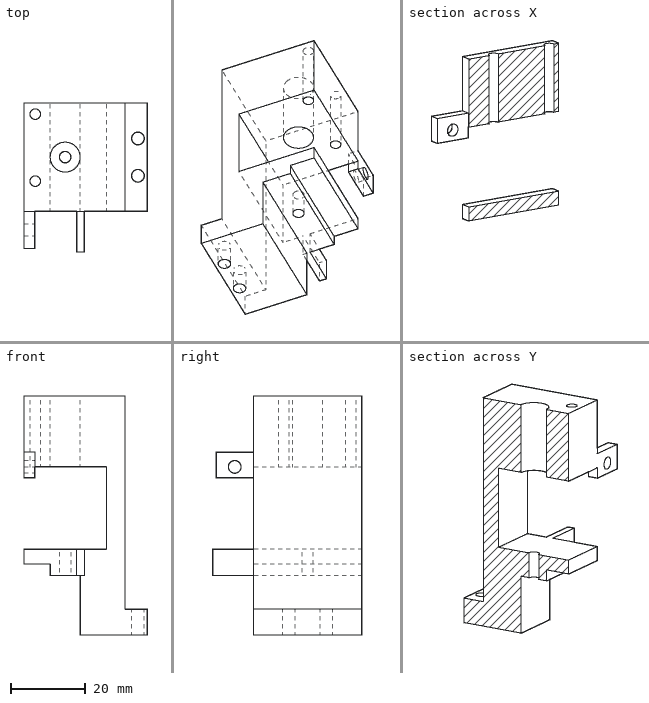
import cadquery as cq

height = 64.0
depth = 29.0
body_width = 27.0
foot_end = 33.0
foot_height = 7.0
column_left = 15.0
throat_wall = 22.0
throat_top = 45.0
plate_top = 23.0
plate_bottom = 19.0
step_left = 7.0
step_bottom = 15.95

tab_thickness = 2.9
tab_length = 10.0
tab_bottom = 42.05
tab_top = 48.95
rib_left = 14.1
rib_thickness = 2.05
rib_length = 10.9

bore_diameter = 8.0
plate_hole_diameter = 3.0
bore_x = 11.0
pin_hole_diameter = 2.8
pin_hole_x = 3.0
pin_hole_front_y = 8.05
pin_hole_back_y = depth - pin_hole_x
screw_hole_diameter = 3.3
screw_hole_x = 30.45
screw_hole_spacing = 10.0


def box(x_start, x_end, y_start, y_end, z_start, z_end):
    """Axis-aligned block between two opposite corners."""
    size = (x_end - x_start, y_end - y_start, z_end - z_start)
    return cq.Workplane("XY").box(*size, centered=False).translate((x_start, y_start, z_start))


def vertical_hole(x, y, diameter, z_start, z_end):
    """Cylinder along Z used as a cutter."""
    hole = cq.Workplane("XY").circle(diameter / 2).extrude(z_end - z_start)
    return hole.translate((x, y, z_start))


def make_body():
    """Side profile with head, throat, stepped plate, column and foot."""
    profile = [
        (0, height),
        (body_width, height),
        (body_width, foot_height),
        (foot_end, foot_height),
        (foot_end, 0),
        (column_left, 0),
        (column_left, step_bottom),
        (step_left, step_bottom),
        (step_left, plate_bottom),
        (0, plate_bottom),
        (0, plate_top),
        (throat_wall, plate_top),
        (throat_wall, throat_top),
        (0, throat_top),
    ]
    return cq.Workplane("XZ").polyline(profile).close().extrude(-depth)


def make_tab():
    """Drilled tab flush with the left face of the head."""
    tab = box(0, tab_thickness, -tab_length, 0, tab_bottom, tab_top)
    hole = cq.Workplane("YZ").circle(screw_hole_diameter / 2).extrude(tab_thickness)
    return tab.cut(hole.translate((0, -tab_length / 2, throat_top)))


def make_rib():
    """Plain lug at the height of the stepped plate, rooted in the front face."""
    return box(rib_left, rib_left + rib_thickness, -rib_length, 0, step_bottom, plate_top)


result = make_body().union(make_tab()).union(make_rib())

bore_y = depth / 2
result = result.cut(vertical_hole(bore_x, bore_y, bore_diameter, throat_top, height))
result = result.cut(vertical_hole(bore_x, bore_y, plate_hole_diameter, step_bottom, plate_top))

for pin_hole_y in (pin_hole_front_y, pin_hole_back_y):
    result = result.cut(vertical_hole(pin_hole_x, pin_hole_y, pin_hole_diameter, throat_top, height))

for side in (-1, 1):
    screw_hole_y = depth / 2 + side * screw_hole_spacing / 2
    result = result.cut(vertical_hole(screw_hole_x, screw_hole_y, screw_hole_diameter, 0, foot_height))